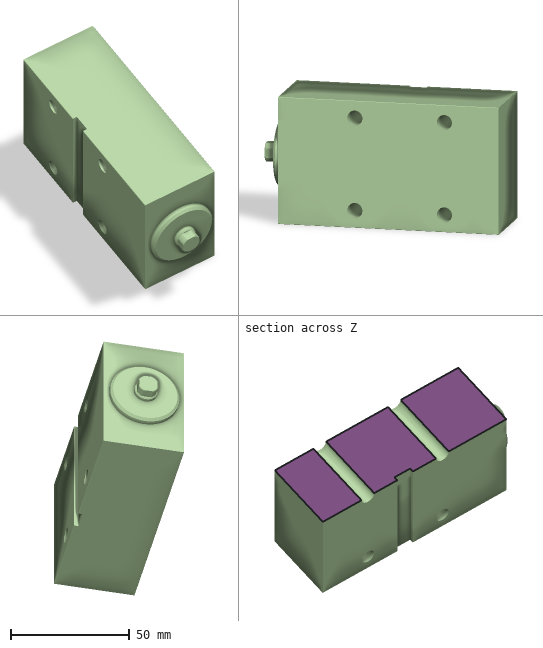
import cadquery as cq

TOTAL_LENGTH = 105.0
BLOCK_LENGTH = 96.0
BLOCK_DEPTH = 35.0
BLOCK_HEIGHT = 55.0
EDGE_CHAMFER = 0.17

GROOVE_WIDTH = 8.0
GROOVE_DEPTH = 2.0
GROOVE_CENTER_X = 43.0

HOLE_DIAMETER = 6.5
HOLE_SPACING_X = 39.0
HOLE_SPACING_Z = 40.0

COVER_DIAMETER = 30.0
COVER_THICKNESS = 3.0
COVER_CHAMFER = 1.0

COLLAR_DIAMETER = 10.0
COLLAR_LENGTH = 2.0
COLLAR_CHAMFER = 0.5
TIP_DIAMETER = COLLAR_DIAMETER - 2 * COLLAR_CHAMFER
TIP_ACROSS_FLATS = 8.0
TIP_CHAMFER = 0.3
TIP_LENGTH = TOTAL_LENGTH - BLOCK_LENGTH - COVER_THICKNESS - COLLAR_LENGTH


def disc_on_x(start_x, diameter, length, end_chamfer):
    """Cylinder along X from start_x, with its +X rim chamfered."""
    disc = cq.Workplane("YZ", origin=(start_x, 0, 0)).circle(diameter / 2).extrude(length)
    return disc.faces(">X").chamfer(end_chamfer)


def make_block():
    """Rectangular block with a front groove and four through holes."""
    block = cq.Workplane("XY").box(BLOCK_LENGTH, BLOCK_DEPTH, BLOCK_HEIGHT)
    block = block.translate((BLOCK_LENGTH / 2, 0, 0))
    block = block.edges("|X").chamfer(EDGE_CHAMFER)

    groove = cq.Workplane("XY").box(GROOVE_WIDTH, 2 * GROOVE_DEPTH, BLOCK_HEIGHT)
    block = block.cut(groove.translate((GROOVE_CENTER_X, -BLOCK_DEPTH / 2, 0)))

    holes = (
        cq.Workplane("XZ", origin=(GROOVE_CENTER_X, BLOCK_DEPTH / 2, 0))
        .rarray(HOLE_SPACING_X, HOLE_SPACING_Z, 2, 2)
        .circle(HOLE_DIAMETER / 2)
        .extrude(BLOCK_DEPTH)
    )
    return block.cut(holes)


def make_cover():
    """Chamfered disc lying flat on the end of the block."""
    return disc_on_x(BLOCK_LENGTH, COVER_DIAMETER, COVER_THICKNESS, COVER_CHAMFER)


def make_rod():
    """Round collar standing on the cover, with a tip that has four wrench flats."""
    collar_start = BLOCK_LENGTH + COVER_THICKNESS
    tip_start = collar_start + COLLAR_LENGTH
    collar = disc_on_x(collar_start, COLLAR_DIAMETER, COLLAR_LENGTH, COLLAR_CHAMFER)
    round_tip = disc_on_x(tip_start, TIP_DIAMETER, TIP_LENGTH, TIP_CHAMFER)
    flats = (
        cq.Workplane("YZ", origin=(tip_start, 0, 0))
        .rect(TIP_ACROSS_FLATS, TIP_ACROSS_FLATS)
        .extrude(TIP_LENGTH)
    )
    return collar.union(round_tip.intersect(flats))


block = make_block()
cover = make_cover()
rod = make_rod()

result = cq.Compound.makeCompound([block.val(), cover.val(), rod.val()])